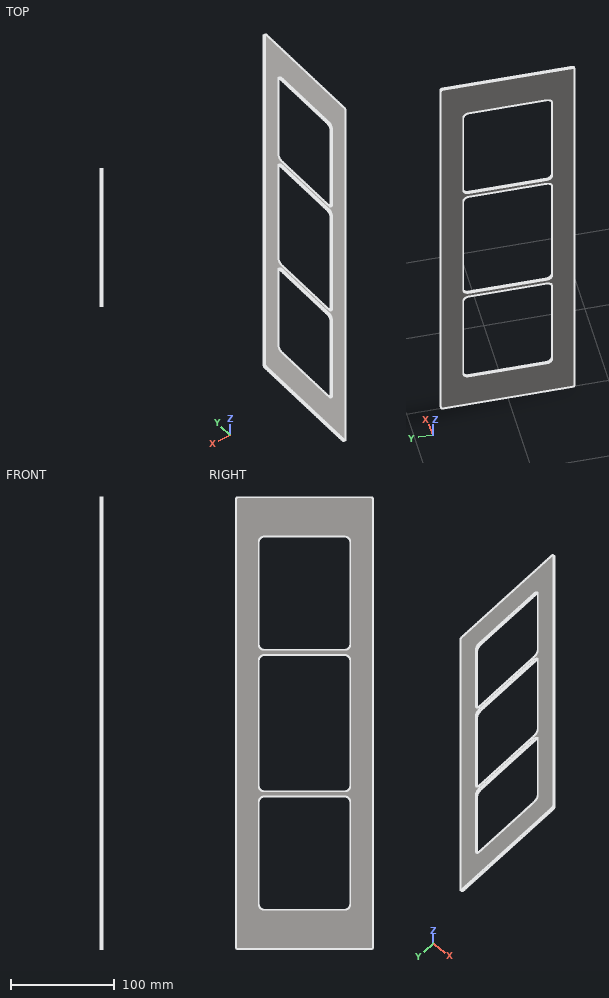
import cadquery as cq

thickness = 2.05
width = 132.5
height = 435.5
plate_corner_radius = 2.0

window_width = 88.0
window_corner_radius = 5.2
middle_window_height = 131.0
outer_window_height = 109.0
bar_height = 5.2


def window(window_height, center_z):
    """Rounded rectangular cutter passing through the plate."""
    return (
        cq.Workplane("XY")
        .box(2 * thickness, window_width, window_height)
        .edges("|X")
        .fillet(window_corner_radius)
        .translate((0, 0, center_z))
    )


plate = cq.Workplane("XY").box(thickness, width, height)
plate = plate.edges("|X").fillet(plate_corner_radius)

outer_window_offset = (middle_window_height + outer_window_height) / 2 + bar_height

result = plate.cut(window(middle_window_height, 0))
for side in (-1, 1):
    result = result.cut(window(outer_window_height, side * outer_window_offset))